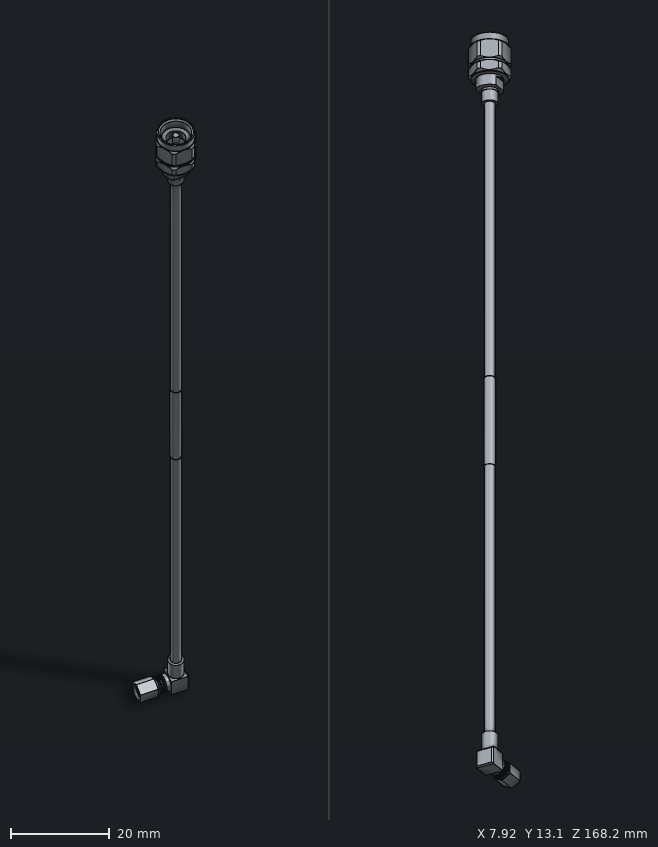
import cadquery as cq
import math


TOTAL_LENGTH = 168.23
TOTAL_DEPTH = 13.15
CABLE_DIA = 2.3

HEX_SIDES = 6
HEX_TURN = 180 / HEX_SIDES

SLEEVE_DIA = 2.5
SLEEVE_LENGTH = 20.3
SLEEVE_TOP_DROP = 77.8

NUT_ACROSS_FLATS = 7.92
NUT_CORNER_RADIUS = 4.36
NUT_COLLAR_DIA = 7.7
NUT_COLLAR_HEIGHT = 1.6
NUT_LENGTH = 9.0
NUT_BORE_DIA = 6.4
NUT_BORE_DEPTH = 6.0
NUT_MOUTH_CHAMFER = 0.35
NUT_GROOVE_DROP = 6.1
NUT_GROOVE_WIDTH = 0.5
NUT_BEVEL = 0.4
NUT_BACK_BEVEL = 0.7

STEM_DIA = 4.8
HEAD_DIA = 6.0
HEAD_RECESS = 2.0
SOCKET_DIA = 4.1
SOCKET_DEPTH = 2.0
PIN_DIA = 1.3
PIN_TIP_DROP = 1.0
SHOULDER_DIA = 5.7
SHOULDER_RIM = 0.4
SHOULDER_FLATS = 4.8
SHOULDER_LENGTH = 2.5
FERRULE_SEAT_DIA = 3.6
FERRULE_SEAT_LENGTH = 0.5
FERRULE_DIA = 3.4
FERRULE_LENGTH = 3.0
CABLE_ENTRY = 2.0

BLOCK_SIZE = 4.0
BLOCK_BACK_Y = 2.1
BLOCK_CHAMFER = 0.3
ELBOW_FERRULE_TOP = 6.0
NECK_DIA = 3.9
NECK_GROOVE_DIA = 3.4
NECK_GROOVE_WIDTH = 0.35
NECK_GROOVE_PITCH = 0.6
NECK_GROOVE_COUNT = 3
NECK_GROOVE_START = 0.9
HEX_ACROSS_FLATS = 4.0
HEX_LENGTH = 4.0
MATING_END_Y = NUT_CORNER_RADIUS - TOTAL_DEPTH
ELBOW_BORE_DIA = 3.4
ELBOW_BORE_DEPTH = 3.5
ELBOW_CONTACT_DIA = 2.4
ELBOW_CONTACT_BORE = 1.8
ELBOW_CONTACT_RECESS = 0.5
ELBOW_PIN_DIA = 0.9
ELBOW_PIN_RECESS = 0.6

HEX_CORNER_RADIUS = HEX_ACROSS_FLATS / math.sqrt(3)
TOP_Z = TOTAL_LENGTH - HEX_CORNER_RADIUS
NUT_BOTTOM_Z = TOP_Z - NUT_LENGTH
NUT_BORE_FLOOR_Z = TOP_Z - NUT_BORE_DEPTH
FERRULE_TOP_Z = NUT_BOTTOM_Z - SHOULDER_LENGTH
FERRULE_BOTTOM_Z = FERRULE_TOP_Z - FERRULE_LENGTH
CABLE_TOP_Z = FERRULE_BOTTOM_Z + CABLE_ENTRY
CABLE_BOTTOM_Z = ELBOW_FERRULE_TOP - CABLE_ENTRY


def upright_cylinder(diameter, bottom, top):
    return cq.Workplane("XY").workplane(offset=bottom).circle(diameter / 2).extrude(top - bottom)


def mating_cylinder(diameter, front, back):
    """Cylinder along Y, from the mating end towards +Y."""
    return cq.Workplane("XZ", origin=(0, back, 0)).circle(diameter / 2).extrude(back - front)


def hexagon_with_bevels(bottom, top, bottom_bevel):
    """Hexagon with corners on the Y axis, its corners turned off at both ends."""
    prism = (
        cq.Workplane("XY").workplane(offset=bottom)
        .polygon(HEX_SIDES, 2 * NUT_ACROSS_FLATS / math.sqrt(3)).extrude(top - bottom)
        .rotate((0, 0, 0), (0, 0, 1), HEX_TURN)
    )
    envelope = (
        upright_cylinder(2 * NUT_CORNER_RADIUS, bottom, top)
        .faces(">Z").chamfer(NUT_BEVEL)
        .faces("<Z").chamfer(bottom_bevel)
    )
    return prism.intersect(envelope)


def make_coupling_nut():
    groove_z = TOP_Z - NUT_GROOVE_DROP
    groove_top = groove_z + NUT_GROOVE_WIDTH / 2
    groove_bottom = groove_z - NUT_GROOVE_WIDTH / 2
    upper_hex = hexagon_with_bevels(groove_top, TOP_Z - NUT_COLLAR_HEIGHT, NUT_BEVEL)
    lower_hex = hexagon_with_bevels(NUT_BOTTOM_Z, groove_bottom, NUT_BACK_BEVEL)
    core = upright_cylinder(NUT_COLLAR_DIA, NUT_BOTTOM_Z, TOP_Z)
    bore = upright_cylinder(NUT_BORE_DIA, NUT_BORE_FLOOR_Z, TOP_Z)
    stem_hole = upright_cylinder(STEM_DIA, NUT_BOTTOM_Z, TOP_Z)
    nut = core.union(upper_hex).union(lower_hex).cut(bore).cut(stem_hole)
    mouth = cq.selectors.RadiusNthSelector(0)
    return nut.faces(">Z").edges(mouth).chamfer(NUT_MOUTH_CHAMFER)


def make_straight_plug():
    head_top = TOP_Z - HEAD_RECESS
    stem = upright_cylinder(STEM_DIA, NUT_BOTTOM_Z, head_top)
    head = upright_cylinder(HEAD_DIA, NUT_BORE_FLOOR_Z, head_top)
    socket = upright_cylinder(SOCKET_DIA, head_top - SOCKET_DEPTH, head_top)
    pin = upright_cylinder(PIN_DIA, head_top - SOCKET_DEPTH, TOP_Z - PIN_TIP_DROP)
    rim = upright_cylinder(SHOULDER_DIA, NUT_BOTTOM_Z - SHOULDER_RIM, NUT_BOTTOM_Z)
    flatted = upright_cylinder(SHOULDER_DIA, FERRULE_TOP_Z, NUT_BOTTOM_Z).intersect(
        cq.Workplane("XY").workplane(offset=FERRULE_TOP_Z)
        .rect(SHOULDER_FLATS, SHOULDER_DIA).extrude(SHOULDER_LENGTH)
    )
    seat = upright_cylinder(FERRULE_SEAT_DIA, FERRULE_TOP_Z - FERRULE_SEAT_LENGTH, FERRULE_TOP_Z)
    ferrule = upright_cylinder(FERRULE_DIA, FERRULE_BOTTOM_Z, FERRULE_TOP_Z)
    cable_hole = upright_cylinder(CABLE_DIA, FERRULE_BOTTOM_Z, CABLE_TOP_Z)
    outer = stem.union(head).cut(socket).union(rim).union(flatted).union(seat).union(ferrule)
    return outer.union(pin).cut(cable_hole)


def make_right_angle_plug():
    block_front_y = BLOCK_BACK_Y - BLOCK_SIZE
    hex_back_y = MATING_END_Y + HEX_LENGTH
    block = (
        cq.Workplane("XY").box(BLOCK_SIZE, BLOCK_SIZE, BLOCK_SIZE)
        .translate((0, BLOCK_BACK_Y - BLOCK_SIZE / 2, 0))
        .faces(">Y").edges().chamfer(BLOCK_CHAMFER)
    )
    ferrule = upright_cylinder(FERRULE_DIA, 0, ELBOW_FERRULE_TOP)
    neck = mating_cylinder(NECK_DIA, hex_back_y, block_front_y)
    for index in range(NECK_GROOVE_COUNT):
        groove_back = block_front_y - NECK_GROOVE_START - index * NECK_GROOVE_PITCH
        groove_front = groove_back - NECK_GROOVE_WIDTH
        ring = mating_cylinder(NECK_DIA, groove_front, groove_back).cut(
            mating_cylinder(NECK_GROOVE_DIA, groove_front, groove_back)
        )
        neck = neck.cut(ring)
    hexagon = (
        cq.Workplane("XZ", origin=(0, hex_back_y, 0))
        .polygon(HEX_SIDES, 2 * HEX_CORNER_RADIUS).extrude(HEX_LENGTH)
        .rotate((0, 0, 0), (0, 1, 0), HEX_TURN)
    )
    bore_back_y = MATING_END_Y + ELBOW_BORE_DEPTH
    bore = mating_cylinder(ELBOW_BORE_DIA, MATING_END_Y, bore_back_y)
    contact = mating_cylinder(ELBOW_CONTACT_DIA, MATING_END_Y + ELBOW_CONTACT_RECESS, bore_back_y).cut(
        mating_cylinder(ELBOW_CONTACT_BORE, MATING_END_Y, bore_back_y)
    )
    pin = mating_cylinder(ELBOW_PIN_DIA, MATING_END_Y + ELBOW_PIN_RECESS, bore_back_y)
    cable_hole = upright_cylinder(CABLE_DIA, CABLE_BOTTOM_Z, ELBOW_FERRULE_TOP)
    outer = block.union(ferrule).union(neck).union(hexagon).cut(bore)
    return outer.union(contact).union(pin).cut(cable_hole)


def make_label_sleeve():
    top = TOP_Z - SLEEVE_TOP_DROP
    bottom = top - SLEEVE_LENGTH
    return upright_cylinder(SLEEVE_DIA, bottom, top).cut(upright_cylinder(CABLE_DIA, bottom, top))


cable = upright_cylinder(CABLE_DIA, CABLE_BOTTOM_Z, CABLE_TOP_Z)
label_sleeve = make_label_sleeve()
coupling_nut = make_coupling_nut()
straight_plug = make_straight_plug()
right_angle_plug = make_right_angle_plug()

result = cq.Compound.makeCompound([
    cable.val(),
    label_sleeve.val(),
    coupling_nut.val(),
    straight_plug.val(),
    right_angle_plug.val(),
])